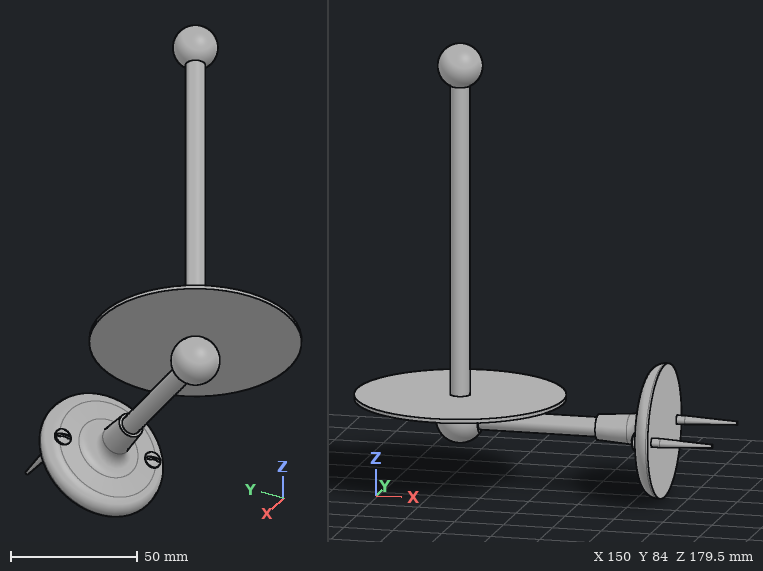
import cadquery as cq
import math

rod_radius = 4.0
rod_seat = 8.3

lower_ball_radius = 9.7
upper_ball_radius = 9.0

plate_radius = 42.0
plate_thickness = 1.6

flange_radius = 27.0
flange_back_x = 83.5
rim_width = 0.9
edge_round = 5.5
edge_start_x = flange_back_x - rim_width - edge_round
collar_start_x = 56.4
collar_start_radius = 5.2
collar_end_x = 69.3
collar_end_radius = 6.1
throat_round = 7.0

screw_spacing = 39.7
screw_head_radius = 3.5
screw_crown_x = 75.2
screw_dome_height = 1.0
screw_seat_x = 77.9
screw_slot_width = 1.3
screw_slot_depth = 0.7
shank_radius = 1.8
taper_start_x = 86.9
screw_tip_x = 108.0
screw_tip_radius = 0.7

overall_height = 179.5
upper_ball_z = overall_height - flange_radius - upper_ball_radius
post_top_z = upper_ball_z - math.sqrt(upper_ball_radius**2 - rod_radius**2)
plate_top_z = rod_seat + plate_thickness

DIAGONAL = math.sqrt(0.5)


def revolve_about_x(profile):
    """Revolve a closed XY profile about the X axis."""
    return profile.close().revolve(360, (0, 0, 0), (1, 0, 0))


def make_lower_ball():
    """Ball with one flat under the plate and one against the arm."""
    size = 2 * lower_ball_radius
    keep = cq.Workplane("XY").box(size, size, size).translate(
        (rod_seat - lower_ball_radius, 0, rod_seat - lower_ball_radius)
    )
    return cq.Workplane("XY").sphere(lower_ball_radius).intersect(keep)


def make_upper_ball():
    """Ball with a flat underside matching the end of the post."""
    size = 2 * upper_ball_radius
    keep = cq.Workplane("XY").box(size, size, size, centered=(True, True, False)).translate((0, 0, post_top_z))
    ball = cq.Workplane("XY").sphere(upper_ball_radius).translate((0, 0, upper_ball_z))
    return ball.intersect(keep)


def make_plate():
    return cq.Workplane("XY").workplane(offset=rod_seat).circle(plate_radius).extrude(plate_thickness)


def make_post():
    post_length = post_top_z - plate_top_z
    return cq.Workplane("XY").workplane(offset=plate_top_z).circle(rod_radius).extrude(post_length)


def make_arm():
    arm_length = collar_start_x - rod_seat
    return cq.Workplane("YZ").workplane(offset=rod_seat).circle(rod_radius).extrude(arm_length)


def screw_clearance(y):
    """Round head recess and through hole that fit one screw."""
    sections = (
        (screw_crown_x, screw_seat_x, screw_head_radius),
        (screw_seat_x, flange_back_x, shank_radius),
    )
    recess, hole = [
        cq.Workplane("YZ").workplane(offset=start).center(y, 0).circle(radius).extrude(end - start)
        for start, end, radius in sections
    ]
    return recess.union(hole)


def make_flange(screw_positions):
    """Tapered collar flaring into a round-edged disc, drilled for the screws."""
    throat_end_x = collar_end_x + throat_round
    throat_end_radius = collar_end_radius + throat_round
    throat_middle = (
        collar_end_x + throat_round * DIAGONAL,
        throat_end_radius - throat_round * DIAGONAL,
    )
    edge_centre_x = edge_start_x + edge_round
    edge_centre_radius = flange_radius - edge_round
    edge_middle = (
        edge_centre_x - edge_round * DIAGONAL,
        edge_centre_radius + edge_round * DIAGONAL,
    )
    flange = revolve_about_x(
        cq.Workplane("XY")
        .moveTo(collar_start_x, 0)
        .lineTo(collar_start_x, collar_start_radius)
        .lineTo(collar_end_x, collar_end_radius)
        .threePointArc(throat_middle, (throat_end_x, throat_end_radius))
        .lineTo(edge_start_x, edge_centre_radius)
        .threePointArc(edge_middle, (edge_centre_x, flange_radius))
        .lineTo(flange_back_x, flange_radius)
        .lineTo(flange_back_x, 0)
    )
    for y in screw_positions:
        flange = flange.cut(screw_clearance(y))
    return flange


def make_screw(y):
    """Slotted, domed screw with a plain shank and a tapered end."""
    dome_edge_x = screw_crown_x + screw_dome_height
    dome_radius = (screw_head_radius**2 + screw_dome_height**2) / (2 * screw_dome_height)
    dome_middle_radius = screw_head_radius / 2
    dome_middle_x = screw_crown_x + dome_radius - math.sqrt(dome_radius**2 - dome_middle_radius**2)
    screw = revolve_about_x(
        cq.Workplane("XY")
        .moveTo(screw_crown_x, 0)
        .threePointArc((dome_middle_x, dome_middle_radius), (dome_edge_x, screw_head_radius))
        .lineTo(screw_seat_x, screw_head_radius)
        .lineTo(screw_seat_x, shank_radius)
        .lineTo(taper_start_x, shank_radius)
        .lineTo(screw_tip_x, screw_tip_radius)
        .lineTo(screw_tip_x, 0)
    )
    slot = (
        cq.Workplane("YZ")
        .workplane(offset=screw_crown_x)
        .rect(2 * screw_head_radius, screw_slot_width)
        .extrude(screw_slot_depth)
    )
    return screw.cut(slot).translate((0, y, 0))


screw_positions = (-screw_spacing / 2, screw_spacing / 2)

lower_ball = make_lower_ball()
plate = make_plate()
post = make_post()
upper_ball = make_upper_ball()
arm = make_arm()
flange = make_flange(screw_positions)
screws = [make_screw(y) for y in screw_positions]

result = cq.Compound.makeCompound([
    lower_ball.val(),
    plate.val(),
    post.val(),
    upper_ball.val(),
    arm.val(),
    flange.val(),
    *[screw.val() for screw in screws],
])